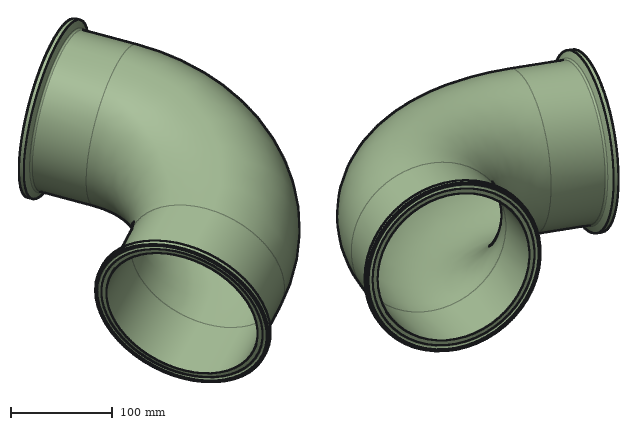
import cadquery as cq
import math

overall_size = 311.5
flange_diameter = 183.0
tube_diameter = 165.0
bore_diameter = 159.2
straight_length = 67.5
rim_thickness = 5.3
cone_foot_position = 9.5
cone_fillet_radius = 2.5
groove_mean_diameter = 174.0
groove_width = 4.5
groove_depth = 1.5

flange_radius = flange_diameter / 2
tube_radius = tube_diameter / 2
bore_radius = bore_diameter / 2
groove_radius = groove_mean_diameter / 2
port_face = -overall_size / 2
axis_offset = overall_size / 2 - flange_radius
bend_start = port_face + straight_length
bend_radius = axis_offset - bend_start


def make_ferrule():
    """Straight tube with a tapered clamp flange, its face at the origin and its axis along +X."""
    cone_run = cone_foot_position - rim_thickness
    cone_rise = flange_radius - tube_radius
    cone_angle = math.atan2(cone_rise, cone_run)
    fillet_setback = cone_fillet_radius * math.tan(cone_angle / 2)
    fillet_start = (
        cone_foot_position - fillet_setback * math.cos(cone_angle),
        tube_radius + fillet_setback * math.sin(cone_angle),
    )
    fillet_end = (cone_foot_position + fillet_setback, tube_radius)
    fillet_middle = (
        fillet_end[0] - cone_fillet_radius * math.sin(cone_angle / 2),
        tube_radius + cone_fillet_radius * (1 - math.cos(cone_angle / 2)),
    )

    groove_inner = groove_radius - groove_width / 2
    groove_outer = groove_radius + groove_width / 2
    section = (
        cq.Workplane("XY")
        .moveTo(0, bore_radius)
        .lineTo(0, groove_inner)
        .threePointArc((groove_depth, groove_radius), (0, groove_outer))
        .lineTo(0, flange_radius)
        .lineTo(rim_thickness, flange_radius)
        .lineTo(*fillet_start)
        .threePointArc(fillet_middle, fillet_end)
        .lineTo(straight_length, tube_radius)
        .lineTo(straight_length, bore_radius)
        .close()
    )
    return section.revolve(360, (0, 0, 0), (1, 0, 0))


def make_bend():
    """Quarter-turn tube from the -X port round to the -Y port."""
    ring = (
        cq.Workplane("YZ", origin=(bend_start, axis_offset, 0))
        .circle(tube_radius)
        .circle(bore_radius)
    )
    return ring.revolve(90, (-bend_radius, 0, 0), (-bend_radius, -1, 0))


ferrule = make_ferrule()
x_port = ferrule.translate((port_face, axis_offset, 0))
y_port = ferrule.rotate((0, 0, 0), (0, 0, 1), 90).translate((axis_offset, port_face, 0))

result = make_bend().union(x_port).union(y_port)